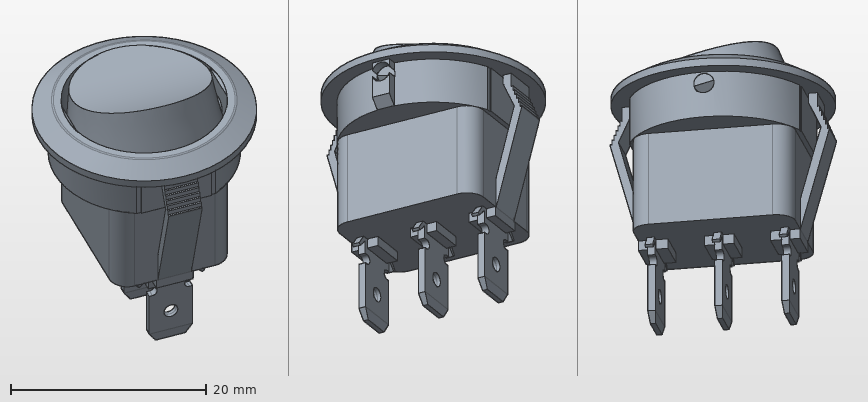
import cadquery as cq


bezel_radius = 11.505
bezel_rim_height = 0.83
bezel_top_z = 2.05
bezel_crest_radius = 9.4
bezel_crest_fillet = 0.4
opening_radius = 17.0 / 2

collar_radius = 9.85
collar_bottom_z = -4.93
collar_flat_x = 8.85
collar_pad_x = 9.0
collar_pad_width = 7.72
cavity_floor_z = -4.45

guide_face_y = 8.15
guide_slope_drop = 0.2

key_width = 2.0
key_outer_y = 10.87
key_chamfer = 1.0

case_length = 16.9
case_width = 12.85
case_bottom_z = -14.9
case_corner_radius = 2.0
foot_length = 3.1
foot_width = 4.05
foot_height = 1.05

arm_width = 3.68
arm_thickness = 0.95
arm_root_x = 10.2
arm_tip_x = 11.45
arm_step_count = 6
arm_first_step_z = -1.48
arm_last_step_z = -4.0
arm_tip_z = -4.1
arm_inner_bend_z = -1.0
arm_elbow_x = 10.57
arm_elbow_z = -3.83
arm_inner_foot_z = -11.52
arm_overlap = 0.3

pivot_z = -1.22
rocker_tilt = 13.4
rocker_rim_radius = 7.25
rocker_rim_height = 5.43
rocker_dish_depth = 0.9
rocker_base_radius = 8.08
rocker_flat_y = 7.95
rocker_underside_radius = 7.42
rocker_underside_depth = 1.2
pivot_radius = 2.1 / 2
pivot_end_y = 9.8

terminal_pitch = 7.0
terminal_thickness = 0.8
terminal_tip_thickness = 0.55
terminal_bottom_z = -23.93
blade_width = 4.78
shoulder_width = 4.95
tip_width = 3.27
tip_length = 1.13
neck_width = 3.03
notch_height = 1.05
notch_top_z = -16.72
terminal_hole_diameter = 1.5
terminal_hole_z = -20.4
barb_inner_top_y = 2.8
barb_tip_top_y = 3.7
barb_tip_top_z = -16.03
barb_tip_bottom_y = 3.47
barb_tip_bottom_z = -16.25
barb_root_z = -15.35


def box_between(x_range, y_range, z_range):
    """A box given by its lower and upper limit along each axis."""
    size = [high - low for low, high in (x_range, y_range, z_range)]
    corner = cq.Vector(x_range[0], y_range[0], z_range[0])
    return cq.Workplane(cq.Solid.makeBox(*size, pnt=corner))


def make_bezel():
    """A flat-topped disc with a conical slope down to its rim and a rounded crest."""
    profile = [
        (0, 0),
        (bezel_radius, 0),
        (bezel_radius, bezel_rim_height),
        (bezel_crest_radius, bezel_top_z),
        (0, bezel_top_z),
    ]
    bezel = cq.Workplane("XZ").polyline(profile).close().revolve(360, (0, 0), (0, 1))
    return bezel.faces(">Z").edges().fillet(bezel_crest_fillet)


def make_collar():
    """The round collar, cut flat on both X sides, with a raised pad on each flat."""
    y_range = (-collar_radius, collar_radius)
    z_range = (collar_bottom_z, 0)
    collar = cq.Workplane("XY").circle(collar_radius).extrude(collar_bottom_z)
    collar = collar.intersect(box_between((-collar_flat_x, collar_flat_x), y_range, z_range))
    pad_y_range = (-collar_pad_width / 2, collar_pad_width / 2)
    return collar.union(box_between((-collar_pad_x, collar_pad_x), pad_y_range, z_range))


def make_key():
    """A rib down the +Y side of the collar, its lower outer corner chamfered."""
    key_root_y = (opening_radius + collar_radius) / 2
    profile = [
        (key_root_y, 0),
        (key_outer_y, 0),
        (key_outer_y, collar_bottom_z + key_chamfer),
        (key_outer_y - key_chamfer, collar_bottom_z),
        (key_root_y, collar_bottom_z),
    ]
    return cq.Workplane("YZ").polyline(profile).close().extrude(key_width / 2, both=True)


def make_case():
    """The rectangular lower case with rounded upright corners."""
    case = (
        cq.Workplane("XY", origin=(0, 0, case_bottom_z))
        .rect(case_length, case_width)
        .extrude(collar_bottom_z - case_bottom_z)
    )
    return case.edges("|Z").fillet(case_corner_radius)


def make_feet():
    """One foot around each terminal, the end feet flush with the ends of the case."""
    end_foot_x = (case_length - foot_length) / 2
    feet = cq.Workplane("XY")
    for center_x in (-end_foot_x, 0, end_foot_x):
        x_range = (center_x - foot_length / 2, center_x + foot_length / 2)
        z_range = (case_bottom_z - foot_height, case_bottom_z)
        feet = feet.add(box_between(x_range, (-foot_width / 2, foot_width / 2), z_range))
    return feet


def make_snap_arm():
    """The +X snap arm: a bent strip with a stepped grip below the bezel."""
    step_x = (arm_tip_x - arm_root_x) / arm_step_count
    step_z = (arm_last_step_z - arm_first_step_z) / (arm_step_count - 1)
    case_end_x = case_length / 2
    outline = [(arm_root_x, 0)]
    for i in range(arm_step_count):
        z = arm_first_step_z + i * step_z
        outline.append((arm_root_x + i * step_x, z))
        outline.append((arm_root_x + (i + 1) * step_x, z))
    outline += [
        (arm_tip_x, arm_tip_z),
        (case_end_x, case_bottom_z),
        (case_end_x - arm_overlap, case_bottom_z),
        (case_end_x - arm_overlap, arm_inner_foot_z),
        (case_end_x, arm_inner_foot_z),
        (arm_elbow_x, arm_elbow_z),
        (arm_root_x - arm_thickness, arm_inner_bend_z),
        (arm_root_x - arm_thickness, 0),
    ]
    return cq.Workplane("XZ").polyline(outline).close().extrude(arm_width / 2, both=True)


def make_cavity():
    """The round opening, narrowed by flat guide pads with sloped tops at both pivots."""
    slope_bottom_z = bezel_top_z - guide_slope_drop
    cavity = (
        cq.Workplane("XY", origin=(0, 0, cavity_floor_z))
        .circle(opening_radius)
        .extrude(bezel_top_z - cavity_floor_z)
    )
    profile = [
        (-guide_face_y, cavity_floor_z),
        (guide_face_y, cavity_floor_z),
        (guide_face_y, slope_bottom_z),
        (opening_radius, bezel_top_z),
        (-opening_radius, bezel_top_z),
        (-guide_face_y, slope_bottom_z),
    ]
    envelope = cq.Workplane("YZ").polyline(profile).close().extrude(opening_radius, both=True)
    return cavity.intersect(envelope)


def make_housing(terminals):
    """Bezel, collar, case and snap arms as one body, fitted around the rocker and terminals."""
    housing = make_bezel().union(make_collar()).union(make_key()).union(make_case())
    for foot in make_feet().vals():
        housing = housing.union(cq.Workplane(foot))
    arm = make_snap_arm()
    housing = housing.union(arm).union(arm.mirror("YZ"))
    housing = housing.cut(make_cavity())
    pivot_circle = cq.Workplane("XZ", origin=(0, 0, pivot_z)).circle(pivot_radius)
    pivot_hole = pivot_circle.extrude(key_outer_y, both=True)
    housing = housing.cut(pivot_hole)
    for terminal in terminals:
        housing = housing.cut(terminal)
    return housing


def make_pivot_pin():
    """A pin through the rocker along Y, the lower half of each end bevelled."""
    pin_plane = cq.Plane(origin=(0, 0, 0), xDir=(0, 0, 1), normal=(0, -1, 0))
    pin = cq.Workplane(pin_plane).circle(pivot_radius).extrude(pivot_end_y, both=True)
    bevel_profile = [
        (pivot_end_y, 0),
        (pivot_end_y, -pivot_radius),
        (pivot_end_y - pivot_radius, -pivot_radius),
    ]
    bevel = cq.Workplane("YZ").polyline(bevel_profile).close().extrude(pivot_radius, both=True)
    return pin.cut(bevel).cut(bevel.mirror("XZ"))


def make_rocker():
    """A tapered round button with a dished top and a pivot pin, tilted about the pivot axis."""
    profile = [
        (0, -rocker_underside_depth),
        (rocker_underside_radius, -rocker_underside_depth),
        (rocker_base_radius, 0),
        (rocker_rim_radius, rocker_rim_height),
        (0, rocker_rim_height),
    ]
    rocker = cq.Workplane("XZ").polyline(profile).close().revolve(360, (0, 0), (0, 1))

    flats = box_between(
        (-rocker_base_radius, rocker_base_radius),
        (-rocker_flat_y, rocker_flat_y),
        (-rocker_underside_depth, rocker_rim_height),
    )
    rocker = rocker.intersect(flats)

    dish_radius = (rocker_rim_radius**2 + rocker_dish_depth**2) / (2 * rocker_dish_depth)
    dish_center_z = rocker_rim_height - rocker_dish_depth + dish_radius
    dish = (
        cq.Workplane("XZ", origin=(0, 0, dish_center_z))
        .circle(dish_radius)
        .extrude(rocker_base_radius, both=True)
    )
    rocker = rocker.cut(dish)

    rocker = rocker.union(make_pivot_pin())
    return rocker.rotate((0, 0, 0), (0, 1, 0), -rocker_tilt).translate((0, 0, pivot_z))


def make_terminal(center_x):
    """A flat blade with a bevelled tip, a necked root and two spread barbs under the case."""
    tip_top_z = terminal_bottom_z + tip_length
    notch_bottom_z = notch_top_z - notch_height
    right_side = [
        (barb_inner_top_y, case_bottom_z),
        (barb_tip_top_y, barb_tip_top_z),
        (barb_tip_bottom_y, barb_tip_bottom_z),
        (shoulder_width / 2, barb_root_z),
        (shoulder_width / 2, notch_top_z),
        (blade_width / 2, notch_top_z),
        (blade_width / 2, tip_top_z),
        (tip_width / 2, terminal_bottom_z),
    ]
    left_side = [(-y, z) for y, z in reversed(right_side)]
    blade = (
        cq.Workplane("YZ")
        .polyline(right_side + left_side)
        .close()
        .extrude(terminal_thickness / 2, both=True)
    )

    notch_radius = notch_height / 2
    notch_end_y = neck_width / 2 + notch_radius
    for side in (-1, 1):
        y_range = sorted((side * notch_end_y, side * shoulder_width))
        notch = box_between(
            (-terminal_thickness, terminal_thickness), y_range, (notch_bottom_z, notch_top_z)
        )
        notch_end = (
            cq.Workplane("YZ")
            .center(side * notch_end_y, notch_top_z - notch_radius)
            .circle(notch_radius)
            .extrude(terminal_thickness, both=True)
        )
        blade = blade.cut(notch.union(notch_end))

    hole = (
        cq.Workplane("YZ")
        .center(0, terminal_hole_z)
        .circle(terminal_hole_diameter / 2)
        .extrude(terminal_thickness, both=True)
    )
    blade = blade.cut(hole)

    taper_outline = [
        (-terminal_thickness / 2, case_bottom_z),
        (terminal_thickness / 2, case_bottom_z),
        (terminal_thickness / 2, tip_top_z),
        (terminal_tip_thickness / 2, terminal_bottom_z),
        (-terminal_tip_thickness / 2, terminal_bottom_z),
        (-terminal_thickness / 2, tip_top_z),
    ]
    taper = cq.Workplane("XZ").polyline(taper_outline).close().extrude(barb_tip_top_y, both=True)
    return blade.intersect(taper).translate((center_x, 0, 0))


terminals = [make_terminal(x) for x in (-terminal_pitch, 0, terminal_pitch)]
housing = make_housing(terminals)
rocker = make_rocker()

result = cq.Compound.makeCompound(
    [housing.val(), rocker.val(), *[terminal.val() for terminal in terminals]]
)